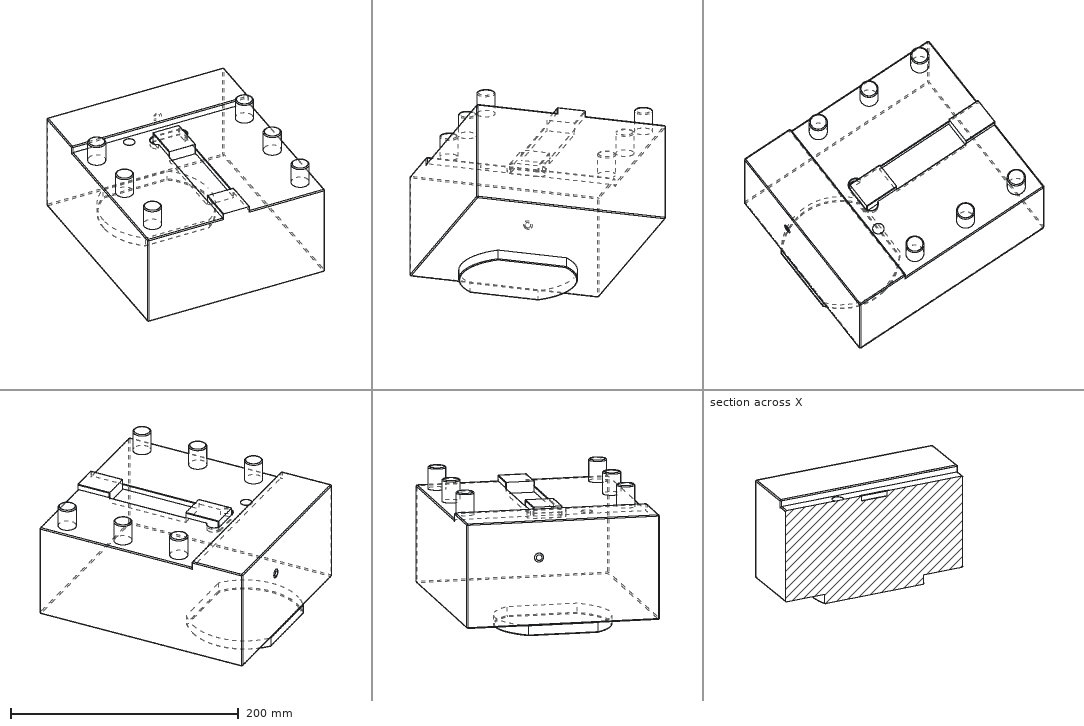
import cadquery as cq

LENGTH = 200.0
WIDTH = 174.0
LEDGE_Z = 88.0
STEP_Z = 94.0
STEP_X = 50.0
EDGE_CHAMFER = 1.0

SLOPE_LENGTH = 3.0
SLOPE_DROP = 0.4

FOOT_DIAMETER = 104.5
FOOT_LENGTH = 83.5
FOOT_HEIGHT = 9.0
FOOT_CHAMFER = 0.8

PIN_DIAMETER = 16.0
PIN_HEIGHT = 20.0
PIN_CHAMFER = 1.0
PIN_FIRST_X = 70.0
PIN_PITCH = 55.0
PIN_COUNT = 3
PIN_ROW_Y = 72.5

RECESS_DEPTH = 5.0
RIM_CHAMFER = 0.5
RECESS_START_X = 91.0
RECESS_END_X = 171.0
RECESS_WIDTH = 26.0
RECESS_CORNER_RADIUS = 4.0

PAD_WIDTH = 26.0
PAD_HEIGHT = 5.0
PAD_CHAMFER = 0.5
PAD_SPANS_X = [(61.0, 93.5), (168.5, LENGTH)]

FINGER_SLOT_X = 66.4
FINGER_SLOT_WIDTH = 12.5
FINGER_SLOT_LENGTH = 35.0

SPOT_DIAMETER = 10.11
SPOT_DEPTH = 0.2
SPOT_X = 57.9
SPOT_Y = -34.5

BUTTON_DIAMETER = 8.0
BUTTON_TIP_DIAMETER = 5.0
BUTTON_HEIGHT = 0.55
BUTTON_Y = 22.0
BUTTON_Z = 61.0


def make_housing():
    """Stepped block with every outer edge broken."""
    block = (
        cq.Workplane("XZ")
        .lineTo(LENGTH, 0)
        .lineTo(LENGTH, LEDGE_Z)
        .lineTo(STEP_X + SLOPE_LENGTH, LEDGE_Z)
        .lineTo(STEP_X, LEDGE_Z - SLOPE_DROP)
        .lineTo(STEP_X, STEP_Z)
        .lineTo(0, STEP_Z)
        .close()
        .extrude(WIDTH / 2, both=True)
    )
    rims = block.faces("<Y or >Y").edges()
    cross_edges = block.edges("|Y").edges("<X or >X or >Z")
    return rims.add(cross_edges).chamfer(EDGE_CHAMFER)


def make_foot():
    """Disc with two flats, its left flat flush with the block's left face."""
    centre_x = FOOT_LENGTH / 2
    disc = (
        cq.Workplane("XY", origin=(centre_x, 0, -FOOT_HEIGHT))
        .circle(FOOT_DIAMETER / 2)
        .extrude(FOOT_HEIGHT)
    )
    trim = cq.Workplane("XY", origin=(centre_x, 0, 0)).box(FOOT_LENGTH, FOOT_DIAMETER, 4 * FOOT_HEIGHT)
    return disc.intersect(trim).faces("<Z").edges().chamfer(FOOT_CHAMFER)


def make_pins():
    """Chamfered round pins standing on the ledge."""
    centres = [
        (PIN_FIRST_X + i * PIN_PITCH, side * PIN_ROW_Y)
        for i in range(PIN_COUNT)
        for side in (-1, 1)
    ]
    pins = cq.Workplane("XY", origin=(0, 0, LEDGE_Z)).pushPoints(centres)
    return pins.circle(PIN_DIAMETER / 2).extrude(PIN_HEIGHT).faces(">Z").edges().chamfer(PIN_CHAMFER)


def make_recess_prisms(bottom_z, height, margin):
    """Prisms over the grip recess and finger slot outlines, widened by a margin."""
    base = cq.Workplane("XY", origin=(0, 0, bottom_z))
    grip = (
        base.center((RECESS_START_X + RECESS_END_X) / 2, 0)
        .rect(RECESS_END_X - RECESS_START_X + 2 * margin, RECESS_WIDTH + 2 * margin)
        .extrude(height)
        .edges("|Z")
        .fillet(RECESS_CORNER_RADIUS + margin)
    )
    finger_slot = (
        base.center(FINGER_SLOT_X, 0)
        .slot2D(FINGER_SLOT_LENGTH + 2 * margin, FINGER_SLOT_WIDTH + 2 * margin, 90)
        .extrude(height)
    )
    return grip.union(finger_slot)


def make_recesses():
    """Cutter for both recesses, with a common floor and chamfered rims."""
    wells = make_recess_prisms(LEDGE_Z - RECESS_DEPTH, RECESS_DEPTH, 0)
    rims = make_recess_prisms(LEDGE_Z - RIM_CHAMFER, 2 * RIM_CHAMFER, RIM_CHAMFER)
    return wells.union(rims.faces("<Z").edges().chamfer(RIM_CHAMFER))


def make_pad(start_x, end_x):
    """Raised pad reaching down to the recess floor."""
    return (
        cq.Workplane("XY", origin=(start_x, 0, LEDGE_Z - RECESS_DEPTH))
        .box(end_x - start_x, PAD_WIDTH, RECESS_DEPTH + PAD_HEIGHT, centered=(False, True, False))
        .edges("|Z or (|X and >Z)")
        .chamfer(PAD_CHAMFER)
    )


def make_spot():
    """Cutter for the shallow round spot in the ledge."""
    return (
        cq.Workplane("XY", origin=(SPOT_X, SPOT_Y, LEDGE_Z - SPOT_DEPTH))
        .circle(SPOT_DIAMETER / 2)
        .extrude(2 * SPOT_DEPTH)
    )


def make_button():
    """Low cone pointing out of the left face."""
    base_radius = BUTTON_DIAMETER / 2
    tip_radius = BUTTON_TIP_DIAMETER / 2
    cone = cq.Solid.makeCone(
        base_radius,
        tip_radius,
        BUTTON_HEIGHT,
        pnt=cq.Vector(0, BUTTON_Y, BUTTON_Z),
        dir=cq.Vector(-1, 0, 0),
    )
    return cq.Workplane(obj=cone)


result = make_housing().cut(make_recesses()).cut(make_spot())
for pad_start_x, pad_end_x in PAD_SPANS_X:
    result = result.union(make_pad(pad_start_x, pad_end_x))
result = result.union(make_foot()).union(make_pins()).union(make_button())